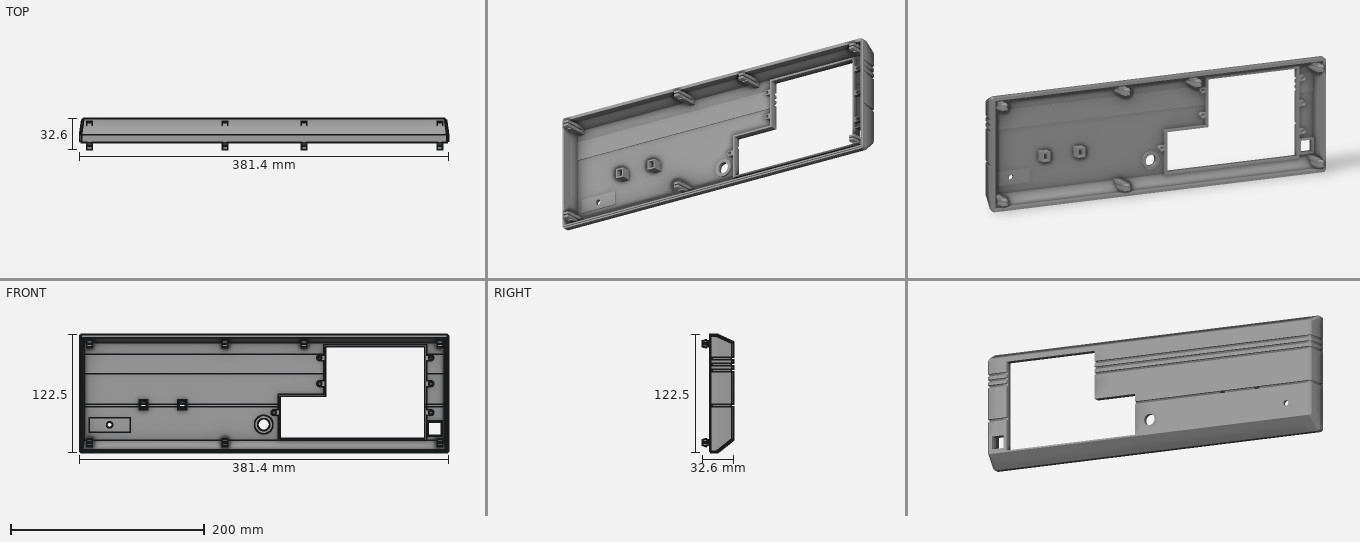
import cadquery as cq
import math


LENGTH = 381.42
HEIGHT = 122.5
RIM_DEPTH = 25.0
SLOPE_DEPTH = 17.0
PANEL_TOP_Z = 53.4
PANEL_BOTTOM_Z = -47.7
PANEL_HALF_LENGTH = 188.3
END_CHAMFER = 2.0

PANEL_THICKNESS = 3.0
CAVITY_SLOPE_DEPTH = 14.7
CAVITY_HALF_HEIGHT = 58.0
CAVITY_HALF_LENGTH = 187.8
CAVITY_FLOOR_TOP_Z = 52.85
CAVITY_FLOOR_BOTTOM_Z = -48.3
CAVITY_FLOOR_HALF_LENGTH = 186.0

LAP_WIDTH = 1.6
LAP_DEPTH = 1.2

GROOVE_WIDTH = 2.6
GROOVE_DEPTH = 2.5
GROOVE_END_DEPTH = 1.2
GROOVE_REACH = 22.2
GROOVE_PITCH = 6.0
GROOVE_GROUP_Z = 30.2
SINGLE_GROOVE_Z = -12.0
GROOVE_Z = [GROOVE_GROUP_Z + i * GROOVE_PITCH for i in (-1, 0, 1)] + [SINGLE_GROOVE_Z]

BAND_BOTTOM_Z = 20.68
BAND_TOP_Z = 40.8
BAND_RISE = 1.0

OPENING_LEFT_X = 16.5
OPENING_STEP_X = 63.6
OPENING_RIGHT_X = 166.0
OPENING_TOP_Z = 48.35
OPENING_STEP_Z = -2.7
OPENING_BOTTOM_Z = -46.1
FRAME_WIDTH = 2.0
FRAME_RISE = 5.5
FRAME_TOP_DEPTH = PANEL_THICKNESS + FRAME_RISE

BOSS_DIAMETER = 5.75
BOSS_HOLE_DIAMETER = 4.0
BOSS_HOLE_DEPTH = 4.5
DRILL_TIP_ANGLE = 118.0
BOSS_OFFSET = 4.2
BOSS_Z = (37.1, 10.3, -19.6)

WINDOW_CENTER = (176.3, -36.2)
WINDOW_SIZE = 13.5
WINDOW_WALL = 1.25

RING_CENTER = (-0.4, -31.9)
RING_DIAMETER = 19.0
RING_HOLE_DIAMETER = 12.0
RING_RISE = 2.0

PAD_CENTER = (-159.7, -32.2)
PAD_SIZE = (42.5, 14.9)
PAD_RISE = 1.0
PAD_HOLE_DIAMETER = 5.75

SOCKET_X = (-124.7, -84.6)
SOCKET_Z = -11.5
SOCKET_SIZE = (9.2, 10.3)
SOCKET_POCKET_SIZE = (6.0, 7.4)
SOCKET_RISE = 12.0
SOCKET_FLOOR_DEPTH = 2.0

CLIP_WIDTH = 5.75
CLIP_STEM_HEIGHT = 7.7
CLIP_PRONG_HEIGHT = 5.75
CLIP_HOOK_HEIGHT = 8.2
CLIP_SLOT = 1.3
CLIP_SLOT_START = 6.0
CLIP_HOOK_START = 27.8
CLIP_HOOK_PEAK = 28.6
CLIP_TIP_DEPTH = 32.55
CLIP_TOP_Z = 51.6
CLIP_BOTTOM_Z = -50.5
CLIP_MIDDLE_X = 0.55
CLIP_OUTER_SPACING = 181.0
CLIP_INNER_SPACING = 40.8


def block(x_range, depth_range, z_range):
    """A box given by its ranges along X, depth and Z."""
    x0, x1 = x_range
    d0, d1 = depth_range
    z0, z1 = z_range
    return cq.Workplane("XY").box(x1 - x0, d1 - d0, z1 - z0, centered=False).translate((x0, -d1, z0))


def panel_plane(depth):
    """A workplane parallel to the panel whose normal points into the housing (-Y)."""
    return cq.Workplane("XZ", origin=(0, -depth, 0))


def cross_and_plan(z_profile, x_profile):
    """The shape common to a (depth, z) profile swept along X and an (x, depth) profile along Z."""
    cross = cq.Workplane("YZ").polyline([(-d, z) for d, z in z_profile]).close()
    plan = cq.Workplane("XY").polyline([(x, -d) for x, d in x_profile]).close()
    return cross.extrude(LENGTH, both=True).intersect(plan.extrude(LENGTH, both=True))


def envelope(depth):
    """The outer shape of the housing, filled solid, down to the given depth."""
    z_profile = [
        (0, PANEL_TOP_Z), (SLOPE_DEPTH, HEIGHT / 2), (depth, HEIGHT / 2),
        (depth, -HEIGHT / 2), (SLOPE_DEPTH, -HEIGHT / 2), (0, PANEL_BOTTOM_Z),
    ]
    x_profile = [
        (-PANEL_HALF_LENGTH, 0), (-LENGTH / 2, SLOPE_DEPTH), (-LENGTH / 2, depth),
        (LENGTH / 2, depth), (LENGTH / 2, SLOPE_DEPTH), (PANEL_HALF_LENGTH, 0),
    ]
    return cross_and_plan(z_profile, x_profile)


def chamfered_envelope():
    """The envelope with the outline of both ends chamfered, except at the open rim."""
    solid = envelope(RIM_DEPTH)
    ends = solid.edges(cq.selectors.BoxSelector(
        (-LENGTH, -RIM_DEPTH * 0.9, -HEIGHT), (-PANEL_HALF_LENGTH * 0.9, 1, HEIGHT)))
    ends = ends.add(solid.edges(cq.selectors.BoxSelector(
        (PANEL_HALF_LENGTH * 0.9, -RIM_DEPTH * 0.9, -HEIGHT), (LENGTH, 1, HEIGHT))))
    outline = [e for e in ends.vals() if abs(e.Center().y + SLOPE_DEPTH) > 0.1]
    return solid.newObject(outline).chamfer(END_CHAMFER)


def cavity():
    z_profile = [
        (PANEL_THICKNESS, CAVITY_FLOOR_TOP_Z), (CAVITY_SLOPE_DEPTH, CAVITY_HALF_HEIGHT),
        (RIM_DEPTH, CAVITY_HALF_HEIGHT), (RIM_DEPTH, -CAVITY_HALF_HEIGHT),
        (CAVITY_SLOPE_DEPTH, -CAVITY_HALF_HEIGHT), (PANEL_THICKNESS, CAVITY_FLOOR_BOTTOM_Z),
    ]
    x_profile = [
        (-CAVITY_FLOOR_HALF_LENGTH, PANEL_THICKNESS), (-CAVITY_HALF_LENGTH, CAVITY_SLOPE_DEPTH),
        (-CAVITY_HALF_LENGTH, RIM_DEPTH), (CAVITY_HALF_LENGTH, RIM_DEPTH),
        (CAVITY_HALF_LENGTH, CAVITY_SLOPE_DEPTH), (CAVITY_FLOOR_HALF_LENGTH, PANEL_THICKNESS),
    ]
    return cross_and_plan(z_profile, x_profile)


def lap_step():
    depths = (RIM_DEPTH - LAP_DEPTH, RIM_DEPTH)
    inner_x = LENGTH / 2 - LAP_WIDTH
    around = block((-LENGTH / 2, LENGTH / 2), depths, (-HEIGHT / 2, HEIGHT / 2))
    kept = block((-inner_x, inner_x), depths, (-HEIGHT / 2 + LAP_WIDTH, HEIGHT / 2))
    return around.cut(kept)


def groove(z):
    """One groove running across the panel and along both end walls."""
    z_range = (z - GROOVE_WIDTH / 2, z + GROOVE_WIDTH / 2)
    end_slope = (LENGTH / 2 - PANEL_HALF_LENGTH) / SLOPE_DEPTH
    floor_x = PANEL_HALF_LENGTH - GROOVE_END_DEPTH + end_slope * GROOVE_DEPTH
    rim_x = LENGTH / 2 - GROOVE_END_DEPTH
    core = (
        cq.Workplane("XY", origin=(0, 0, z_range[0]))
        .polyline([
            (-floor_x, -GROOVE_DEPTH), (floor_x, -GROOVE_DEPTH), (rim_x, -SLOPE_DEPTH),
            (rim_x, -GROOVE_REACH), (-rim_x, -GROOVE_REACH), (-rim_x, -SLOPE_DEPTH),
        ])
        .close()
        .extrude(GROOVE_WIDTH)
    )
    return block((-LENGTH / 2, LENGTH / 2), (0, GROOVE_REACH), z_range).cut(core)


def opening_outline(margin, depth):
    """The L-shaped opening outline grown outward by a margin."""
    left, step_x, right = OPENING_LEFT_X - margin, OPENING_STEP_X - margin, OPENING_RIGHT_X + margin
    top, step_z, bottom = OPENING_TOP_Z + margin, OPENING_STEP_Z + margin, OPENING_BOTTOM_Z - margin
    return panel_plane(depth).polyline([
        (left, bottom), (right, bottom), (right, top), (step_x, top), (step_x, step_z), (left, step_z),
    ]).close()


def boss_places():
    """(x, z, direction along X toward the frame) of every screw boss."""
    offset = FRAME_WIDTH + BOSS_OFFSET
    upper, middle, lower = BOSS_Z
    left_side = [(OPENING_STEP_X - offset, upper, 1), (OPENING_STEP_X - offset, middle, 1)]
    left_side.append((OPENING_LEFT_X - offset, lower, 1))
    return left_side + [(OPENING_RIGHT_X + offset, z, -1) for z in BOSS_Z]


def boss(x, z, toward_frame):
    """A round boss with the web that ties it to the frame."""
    post = panel_plane(PANEL_THICKNESS).center(x, z).circle(BOSS_DIAMETER / 2).extrude(FRAME_RISE)
    web = (
        panel_plane(PANEL_THICKNESS)
        .center(x + toward_frame * BOSS_OFFSET / 2, z)
        .rect(BOSS_OFFSET, BOSS_DIAMETER)
        .extrude(FRAME_RISE)
    )
    return post.union(web)


def boss_hole(x, z):
    """A blind drilled hole with a conical tip."""
    radius = BOSS_HOLE_DIAMETER / 2
    tip = radius / math.tan(math.radians(DRILL_TIP_ANGLE / 2))
    bottom = FRAME_TOP_DEPTH - BOSS_HOLE_DEPTH
    return (
        cq.Workplane("XY", origin=(x, 0, z))
        .polyline([(0, -FRAME_TOP_DEPTH), (radius, -FRAME_TOP_DEPTH), (radius, -bottom), (0, tip - bottom)])
        .close()
        .revolve(360, (0, 0), (0, 1))
    )


def raised_rect(center, size, rise):
    return panel_plane(PANEL_THICKNESS).center(*center).rect(*size).extrude(rise)


def through_hole(center, diameter):
    return panel_plane(0).center(*center).circle(diameter / 2).extrude(RIM_DEPTH)


def clip(x, z):
    """A snap clip: a slotted stem on the panel ending in two hooked prongs, flush with the outer slope."""
    half_stem = CLIP_STEM_HEIGHT / 2
    half_prong = CLIP_PRONG_HEIGHT / 2
    half_hook = CLIP_HOOK_HEIGHT / 2
    upper_side = [
        (PANEL_THICKNESS, half_stem), (RIM_DEPTH, half_stem), (RIM_DEPTH, half_prong),
        (CLIP_HOOK_START, half_prong), (CLIP_HOOK_PEAK, half_hook), (CLIP_TIP_DEPTH, half_prong),
    ]
    lower_side = [(depth, -half) for depth, half in reversed(upper_side)]
    body = (
        cq.Workplane("YZ", origin=(x, 0, z))
        .polyline([(-depth, half) for depth, half in upper_side + lower_side])
        .close()
        .extrude(CLIP_WIDTH / 2, both=True)
    )
    slot = block(
        (x - CLIP_WIDTH, x + CLIP_WIDTH),
        (CLIP_SLOT_START, CLIP_TIP_DEPTH),
        (z - CLIP_SLOT / 2, z + CLIP_SLOT / 2),
    )
    return body.cut(slot).intersect(envelope(CLIP_TIP_DEPTH))


def make_clips():
    top_x = [-CLIP_OUTER_SPACING, -CLIP_INNER_SPACING, CLIP_INNER_SPACING, CLIP_OUTER_SPACING]
    bottom_x = [-CLIP_OUTER_SPACING, -CLIP_INNER_SPACING, CLIP_OUTER_SPACING]
    places = [(x, CLIP_TOP_Z) for x in top_x] + [(x, CLIP_BOTTOM_Z) for x in bottom_x]
    return [clip(CLIP_MIDDLE_X + x, z) for x, z in places]


def make_housing(clips):
    body = chamfered_envelope().cut(cavity()).cut(lap_step())

    body = body.union(block(
        (-CAVITY_FLOOR_HALF_LENGTH, CAVITY_FLOOR_HALF_LENGTH),
        (PANEL_THICKNESS, PANEL_THICKNESS + BAND_RISE),
        (BAND_BOTTOM_Z, BAND_TOP_Z),
    ))
    body = body.union(opening_outline(FRAME_WIDTH, PANEL_THICKNESS).extrude(FRAME_RISE))
    for x, z, toward_frame in boss_places():
        body = body.union(boss(x, z, toward_frame))
    window_outer = WINDOW_SIZE + 2 * WINDOW_WALL
    body = body.union(raised_rect(WINDOW_CENTER, (window_outer, window_outer), FRAME_RISE))
    ring = panel_plane(PANEL_THICKNESS).center(*RING_CENTER).circle(RING_DIAMETER / 2).extrude(RING_RISE)
    body = body.union(ring)
    body = body.union(raised_rect(PAD_CENTER, PAD_SIZE, PAD_RISE))
    for x in SOCKET_X:
        body = body.union(raised_rect((x, SOCKET_Z), SOCKET_SIZE, SOCKET_RISE))

    body = body.cut(opening_outline(0, 0).extrude(RIM_DEPTH))
    body = body.cut(panel_plane(0).center(*WINDOW_CENTER).rect(WINDOW_SIZE, WINDOW_SIZE).extrude(RIM_DEPTH))
    body = body.cut(through_hole(RING_CENTER, RING_HOLE_DIAMETER))
    body = body.cut(through_hole(PAD_CENTER, PAD_HOLE_DIAMETER))
    for x, z, _ in boss_places():
        body = body.cut(boss_hole(x, z))
    for x in SOCKET_X:
        pocket = panel_plane(SOCKET_FLOOR_DEPTH).center(x, SOCKET_Z).rect(*SOCKET_POCKET_SIZE)
        body = body.cut(pocket.extrude(RIM_DEPTH))
    for z in GROOVE_Z:
        body = body.cut(groove(z))

    for item in clips:
        body = body.cut(item)
    return body


clips = make_clips()
housing = make_housing(clips)

result = cq.Compound.makeCompound([housing.val(), *[item.val() for item in clips]])